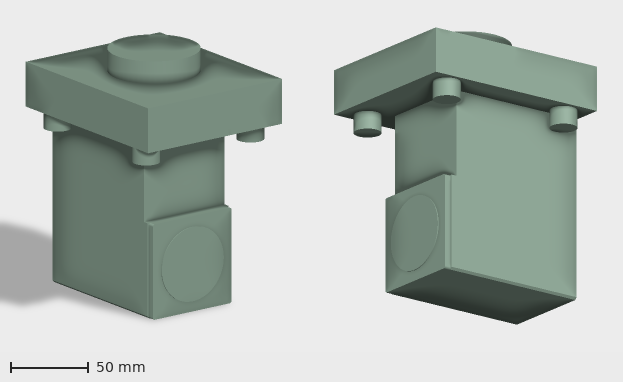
import cadquery as cq

plate_length = 130.0
plate_width = 108.0
plate_thickness = 30.0

boss_diameter = 60.0
total_height = 167.0
boss_height = 15.0

pin_diameter = 18.0
pin_length = 12.0
pin_spacing_x = 94.0
pin_spacing_y = 84.0

housing_width = 65.0
upper_length = 97.0
lower_length = 101.0
lower_height = 64.0
bottom_chamfer = 1.5

cover_thickness = 4.5
cover_inset = 0.8
cover_corner_radius = 1.5
disc_diameter = 50.0
disc_thickness = 0.7

plate_top = total_height - boss_height
plate_bottom = plate_top - plate_thickness
housing_start = -plate_length / 2
cover_start = housing_start + lower_length
cover_end = cover_start + cover_thickness


def block(x_start, length, height, width=housing_width):
    """Block centred on Y, standing on Z = 0."""
    return (
        cq.Workplane("XY")
        .box(length, width, height, centered=(False, True, False))
        .translate((x_start, 0, 0))
    )


def make_plate():
    plate = (
        cq.Workplane("XY")
        .workplane(offset=plate_bottom)
        .rect(plate_length, plate_width)
        .extrude(plate_thickness)
    )
    return plate.faces(">Z").workplane().circle(boss_diameter / 2).extrude(boss_height)


def make_pins():
    return (
        cq.Workplane("XY")
        .workplane(offset=plate_bottom)
        .rect(pin_spacing_x, pin_spacing_y, forConstruction=True)
        .vertices()
        .circle(pin_diameter / 2)
        .extrude(-pin_length)
    )


def make_housing():
    upper = block(housing_start, upper_length, plate_bottom)
    lower = block(housing_start, lower_length, lower_height)
    return upper.union(lower).faces("<Z").edges("|X").chamfer(bottom_chamfer)


def make_cover():
    cover_width = housing_width - 2 * cover_inset
    cover = block(cover_start, cover_thickness, lower_height, cover_width)
    cover = cover.edges("|X").fillet(cover_corner_radius)
    disc = (
        cq.Workplane("YZ", origin=(cover_end, 0, lower_height / 2))
        .circle(disc_diameter / 2)
        .extrude(disc_thickness)
    )
    return cover.union(disc)


result = make_plate().union(make_housing()).union(make_cover()).union(make_pins())